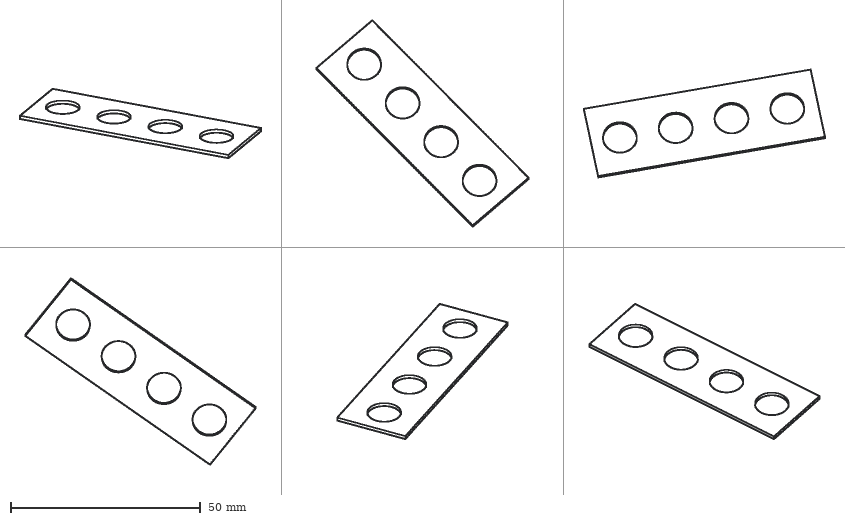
import cadquery as cq

length = 60.95
width = 20.05
thickness = 1.0

hole_count = 4
hole_diameter = 8.9
hole_pitch = 15.0
first_hole_from_left = 7.75

plate = cq.Workplane("XY").box(length, width, thickness, centered=False)

hole_centers = [
    (first_hole_from_left + index * hole_pitch, width / 2)
    for index in range(hole_count)
]
holes = (
    cq.Workplane("XY")
    .pushPoints(hole_centers)
    .circle(hole_diameter / 2)
    .extrude(thickness)
)

result = plate.cut(holes)